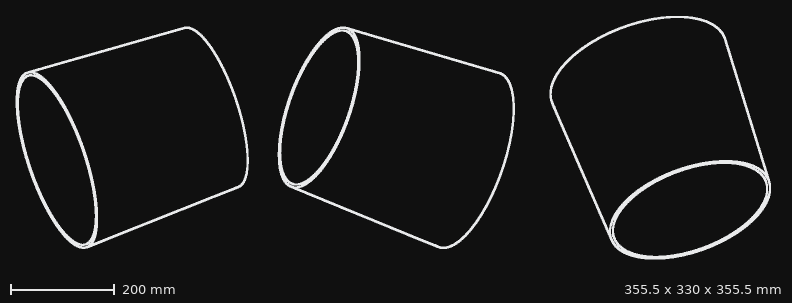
import cadquery as cq

large_diameter = 355.5
small_diameter = 324.0
length = 330.0
wall = 6.0

large_outer = large_diameter / 2
small_outer = small_diameter / 2
large_inner = large_outer - wall
small_inner = small_outer - wall

half_length = length / 2
wall_section = (
    cq.Workplane("XY")
    .moveTo(large_inner, -half_length)
    .lineTo(large_outer, -half_length)
    .lineTo(small_outer, half_length)
    .lineTo(small_inner, half_length)
    .close()
)

result = wall_section.revolve(360, (0, 0, 0), (0, 1, 0))